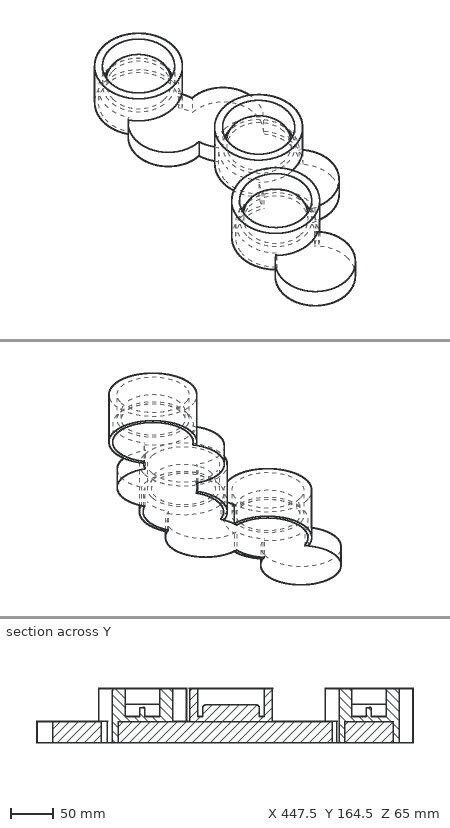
import cadquery as cq

pad_radius = 48.0
pad_height = 25.5
cup_centers = [(0, 0), (164.0, 54.5), (269.0, 0)]
open_pad_centers = [(65.0, -5.0), (98.0, 51.5), (231.5, 63.5), (347.0, 0)]

cup_radius = 52.5
cup_height = 65.0
bore_radius = 43.0
floor_height = 31.5
boss_radius = 38.0
boss_height = 14.5
boss_fillet = 4.5


def make_base():
    """One plate made of the whole chain of pads."""
    base = cq.Workplane("XY")
    for x, y in cup_centers + open_pad_centers:
        base = base.union(cq.Workplane("XY").center(x, y).circle(pad_radius).extrude(pad_height))
    return base


def make_boss():
    """Round boss rising from the cup floor, with a rounded top edge."""
    boss = cq.Workplane("XY").workplane(offset=floor_height).circle(boss_radius).extrude(boss_height)
    return boss.faces(">Z").edges().fillet(boss_fillet)


def make_cup(center, base):
    """Cup with a boss in its bore, hollowed underneath to fit over the base."""
    bore = (
        cq.Workplane("XY")
        .workplane(offset=floor_height)
        .circle(bore_radius)
        .extrude(cup_height - floor_height)
    )
    cup = cq.Workplane("XY").circle(cup_radius).extrude(cup_height).cut(bore).union(make_boss())
    x, y = center
    return cup.translate((x, y, 0)).cut(base)


base = make_base()
cups = [make_cup(center, base) for center in cup_centers]
result = cq.Compound.makeCompound([base.val()] + [cup.val() for cup in cups])